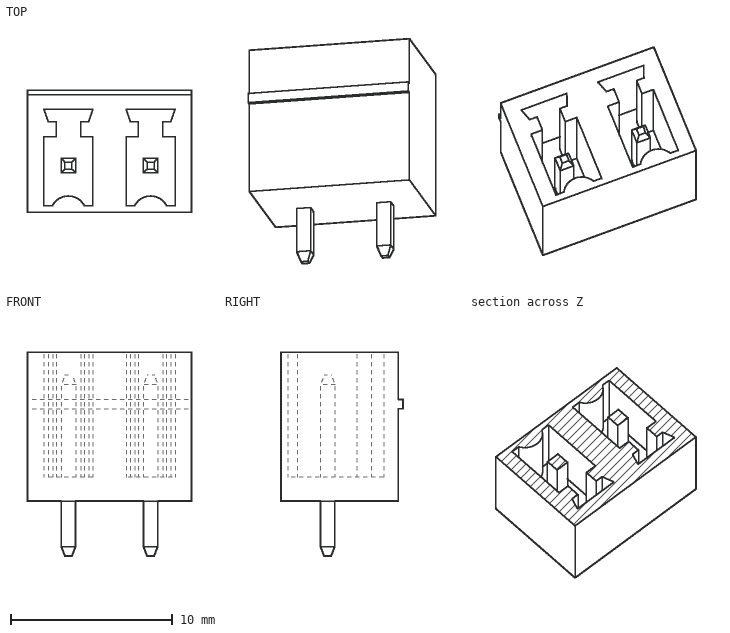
import cadquery as cq
import math

pin_count = 2
pitch = 5.08
housing_width = pin_count * pitch
housing_depth = 7.26
housing_height = 9.2

rail_depth = 0.29
rail_bottom = 5.7
rail_height = 0.59

socket_floor = 1.51
socket_front = 0.42
shoulder_y = 4.67
dovetail_front = 5.6
socket_back = 6.36
socket_half_width = 1.51
neck_half_width = 0.75
dovetail_half_width = 1.25

key_radius = 1.11
key_back = 1.01
key_center_y = key_back - key_radius
key_half_width = math.sqrt(key_radius**2 - (socket_front - key_center_y)**2)

pin_y = 2.89
pin_width = 0.9
pin_tip_width = 0.44
pin_taper = 0.59
pin_bottom = -3.4
pin_recess = 1.4
pin_top = housing_height - pin_recess

pin_xs = [(i - (pin_count - 1) / 2) * pitch for i in range(pin_count)]


def make_housing():
    body = cq.Workplane("XY").box(
        housing_width, housing_depth, housing_height, centered=(True, False, False)
    )
    rail = (
        cq.Workplane("XY", origin=(0, 0, rail_bottom))
        .box(housing_width, housing_depth + rail_depth, rail_height, centered=(True, False, False))
    )
    return body.union(rail)


def make_socket(x):
    """Cavity with a dovetail behind a narrow neck and a rounded key at the front."""
    return (
        cq.Workplane("XY", origin=(x, 0, socket_floor))
        .moveTo(-socket_half_width, socket_front)
        .lineTo(-key_half_width, socket_front)
        .threePointArc((0, key_back), (key_half_width, socket_front))
        .lineTo(socket_half_width, socket_front)
        .lineTo(socket_half_width, shoulder_y)
        .lineTo(neck_half_width, shoulder_y)
        .lineTo(neck_half_width, dovetail_front)
        .lineTo(dovetail_half_width, dovetail_front)
        .lineTo(socket_half_width, socket_back)
        .lineTo(-socket_half_width, socket_back)
        .lineTo(-dovetail_half_width, dovetail_front)
        .lineTo(-neck_half_width, dovetail_front)
        .lineTo(-neck_half_width, shoulder_y)
        .lineTo(-socket_half_width, shoulder_y)
        .close()
        .extrude(housing_height - socket_floor)
    )


def make_pin(x):
    shaft_bottom = pin_bottom + pin_taper
    shaft_top = pin_top - pin_taper
    shaft = (
        cq.Workplane("XY", origin=(x, pin_y, shaft_bottom))
        .rect(pin_width, pin_width)
        .extrude(shaft_top - shaft_bottom)
    )
    for shaft_end, direction in ((shaft_top, 1), (shaft_bottom, -1)):
        tip = (
            cq.Workplane("XY", origin=(x, pin_y, shaft_end))
            .rect(pin_width, pin_width)
            .workplane(offset=direction * pin_taper)
            .rect(pin_tip_width, pin_tip_width)
            .loft(ruled=True)
        )
        shaft = shaft.union(tip)
    return shaft


result = make_housing()
for pin_x in pin_xs:
    result = result.cut(make_socket(pin_x)).union(make_pin(pin_x))